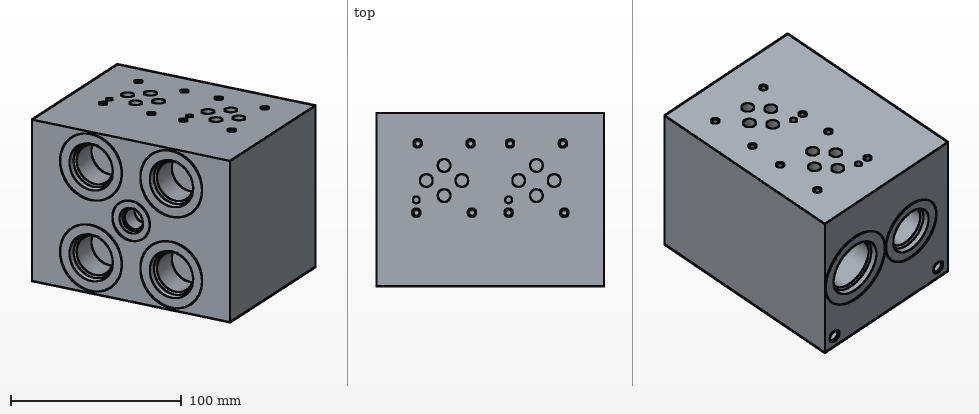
import cadquery as cq
import math

LENGTH = 133.4
WIDTH = 101.6
HEIGHT = 101.6
MID_HEIGHT = HEIGHT / 2

SPOT_DEPTH = 0.4
SMALL_PORT = dict(spot=25.1, mouth=15.7, bore=12.8, seat_depth=2.5, seat_angle=12, depth=15.5)
MEDIUM_PORT = dict(spot=41.5, mouth=29.1, bore=24.7, seat_depth=3.3, seat_angle=15, depth=22.7)
LARGE_PORT = dict(spot=49.0, mouth=35.2, bore=31.1, seat_depth=3.3, seat_angle=15, depth=26.7)

STATION_SPACING = 54.0
STATION_XS = [LENGTH / 2 - STATION_SPACING / 2, LENGTH / 2 + STATION_SPACING / 2]
FRONT_PORT_SPACING = 57.2

PRESSURE_Y = 30.3
TANK_Y = 76.3

PATTERN_Y = 62.0
FLOW_HOLE_DIAMETER = 7.5
FLOW_HOLE_DEPTH = 20.0
FLOW_HOLE_OFFSET_X = 10.4
FLOW_HOLE_OFFSET_Y = 8.8
VALVE_BOLT = dict(diameter=3.7, mouth=5.0, depth=14.7)
BOLT_FRONT_Y = 43.2
BOLT_ROW_SPACING = 40.5
BOLT_FRONT_OFFSET_X = 16.3
BOLT_REAR_OFFSET_X = 15.5
PIN_DIAMETER = 4.0
PIN_DEPTH = 5.3
PIN_TO_BOLT_Y = 7.5

MOUNT_BOLT = dict(diameter=6.4, mouth=8.0, depth=18.7)
MOUNT_SPACING = 85.3
MOUNT_Z = 8.0

DRILL_POINT_ANGLE = 118


def revolve_cutter(profile):
    """Turn (radius, depth) points about the Z axis; the hole runs down from z = 0."""
    points = [(radius, -depth) for radius, depth in profile]
    return cq.Workplane("XZ").polyline(points).close().revolve(360, (0, 0, 0), (0, 1, 0))


def port_cutter(port):
    mouth_radius = port["mouth"] / 2
    bore_radius = port["bore"] / 2
    seat_end = SPOT_DEPTH + port["seat_depth"]
    seat_radius = mouth_radius - port["seat_depth"] * math.tan(math.radians(port["seat_angle"]))
    step_end = seat_end + seat_radius - bore_radius
    return revolve_cutter([
        (0, 0),
        (port["spot"] / 2, 0),
        (port["spot"] / 2, SPOT_DEPTH),
        (mouth_radius, SPOT_DEPTH),
        (seat_radius, seat_end),
        (bore_radius, step_end),
        (bore_radius, port["depth"]),
        (0, port["depth"]),
    ])


def bolt_cutter(bolt):
    """Drilled hole with a 45 degree countersink and a conical drill point."""
    radius = bolt["diameter"] / 2
    mouth_radius = bolt["mouth"] / 2
    point_depth = radius / math.tan(math.radians(DRILL_POINT_ANGLE / 2))
    return revolve_cutter([
        (0, 0),
        (mouth_radius, 0),
        (radius, mouth_radius - radius),
        (radius, bolt["depth"]),
        (0, bolt["depth"] + point_depth),
    ])


def plain_cutter(diameter, depth):
    return cq.Workplane("XY").circle(diameter / 2).extrude(-depth)


def on_front(cutter, x, z):
    return cutter.rotate((0, 0, 0), (1, 0, 0), 90).translate((x, 0, z))


def on_left(cutter, y, z):
    return cutter.rotate((0, 0, 0), (0, 1, 0), -90).translate((0, y, z))


def on_top(cutter, x, y):
    return cutter.translate((x, y, HEIGHT))


def front_port_cutters():
    cutters = [on_front(port_cutter(SMALL_PORT), LENGTH / 2, MID_HEIGHT)]
    for x in STATION_XS:
        for side in (-1, 1):
            z = MID_HEIGHT + side * FRONT_PORT_SPACING / 2
            cutters.append(on_front(port_cutter(MEDIUM_PORT), x, z))
    return cutters


def left_end_cutters():
    cutters = [
        on_left(port_cutter(MEDIUM_PORT), PRESSURE_Y, MID_HEIGHT),
        on_left(port_cutter(LARGE_PORT), TANK_Y, MID_HEIGHT),
    ]
    for side in (-1, 1):
        y = WIDTH / 2 + side * MOUNT_SPACING / 2
        cutters.append(on_left(bolt_cutter(MOUNT_BOLT), y, MOUNT_Z))
    return cutters


def valve_pattern_cutters(x):
    bolt_rear_y = BOLT_FRONT_Y + BOLT_ROW_SPACING
    pin = plain_cutter(PIN_DIAMETER, PIN_DEPTH)
    cutters = [on_top(pin, x - BOLT_FRONT_OFFSET_X, BOLT_FRONT_Y + PIN_TO_BOLT_Y)]
    flow_hole = plain_cutter(FLOW_HOLE_DIAMETER, FLOW_HOLE_DEPTH)
    bolt = bolt_cutter(VALVE_BOLT)
    for side in (-1, 1):
        cutters.append(on_top(flow_hole, x + side * FLOW_HOLE_OFFSET_X, PATTERN_Y))
        cutters.append(on_top(flow_hole, x, PATTERN_Y + side * FLOW_HOLE_OFFSET_Y))
        cutters.append(on_top(bolt, x + side * BOLT_FRONT_OFFSET_X, BOLT_FRONT_Y))
        cutters.append(on_top(bolt, x + side * BOLT_REAR_OFFSET_X, bolt_rear_y))
    return cutters


block = cq.Workplane("XY").box(LENGTH, WIDTH, HEIGHT, centered=False)
all_cutters = front_port_cutters() + left_end_cutters()
for station_x in STATION_XS:
    all_cutters += valve_pattern_cutters(station_x)
for hole in all_cutters:
    block = block.cut(hole)

result = block